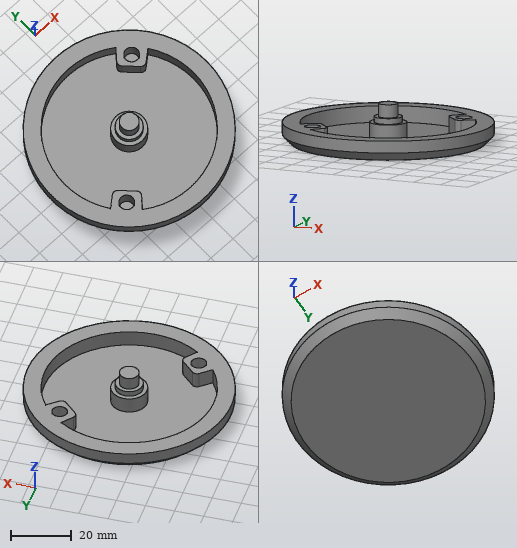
import cadquery as cq
import math

outer_diameter = 70
rim_height = 6.9
bevel = 2.95
pocket_diameter = 58.2
floor_thickness = 1.4

boss_diameter = 12.25
boss_top = rim_height
collar_diameter = 9.3
collar_top = 8.8
pin_diameter = 6.5
pin_top = 13.2

lug_angles = (45, 225)
lug_inner_radius = 22.1
lug_inner_width = 9.4
lug_outer_width = 10.6
lug_corner_radius = 1.75
hole_diameter = 5.2
hole_radius = 26.25


def make_dish():
    body = cq.Workplane("XY").circle(outer_diameter / 2).extrude(rim_height)
    body = body.faces("<Z").chamfer(bevel)
    pocket = (
        cq.Workplane("XY")
        .workplane(offset=floor_thickness)
        .circle(pocket_diameter / 2)
        .extrude(rim_height - floor_thickness)
    )
    return body.cut(pocket)


def make_step(diameter, top):
    """Cylinder on the part axis, rising from the floor to the given height."""
    return (
        cq.Workplane("XY")
        .workplane(offset=floor_thickness)
        .circle(diameter / 2)
        .extrude(top - floor_thickness)
    )


def make_lug(angle):
    """Tapered block that narrows inward, with its root buried in the rim wall."""
    wall_radius = pocket_diameter / 2
    inner_half = lug_inner_width / 2
    outer_half = lug_outer_width / 2
    meet_x = math.sqrt(wall_radius**2 - outer_half**2)
    root_x = (wall_radius + outer_diameter / 2) / 2
    lug = (
        cq.Workplane("XY")
        .workplane(offset=floor_thickness)
        .moveTo(lug_inner_radius, -inner_half)
        .lineTo(meet_x, -outer_half)
        .lineTo(root_x, -outer_half)
        .lineTo(root_x, outer_half)
        .lineTo(meet_x, outer_half)
        .lineTo(lug_inner_radius, inner_half)
        .close()
        .extrude(rim_height - floor_thickness)
        .edges("|Z and <X")
        .fillet(lug_corner_radius)
    )
    return lug.rotate((0, 0, 0), (0, 0, 1), angle)


def make_lug_hole(angle):
    """Blind hole that goes down to the level of the dish floor."""
    hole = (
        cq.Workplane("XY")
        .workplane(offset=floor_thickness)
        .center(hole_radius, 0)
        .circle(hole_diameter / 2)
        .extrude(rim_height - floor_thickness)
    )
    return hole.rotate((0, 0, 0), (0, 0, 1), angle)


result = make_dish()
post_steps = (
    (boss_diameter, boss_top),
    (collar_diameter, collar_top),
    (pin_diameter, pin_top),
)
for diameter, top in post_steps:
    result = result.union(make_step(diameter, top))
for lug_angle in lug_angles:
    result = result.union(make_lug(lug_angle)).cut(make_lug_hole(lug_angle))